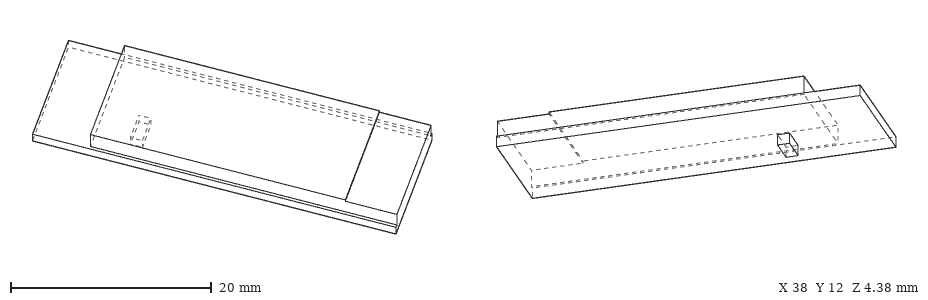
import cadquery as cq

board_length = 38.0
board_width = 12.0
board_thickness = 1.18

block_start = 5.95
block_width = 11.4
block_height = 2.05
step_length = 5.4
step_drop = 0.23

connector_start = 9.2
connector_length = 1.25
connector_width = 2.85
connector_height = 1.15
connector_center_y = -1.25


def box_from(start_x, center_y, start_z, length, width, height):
    """Box given by its -X face, its Y centre and its underside."""
    return cq.Workplane("XY").box(
        length, width, height, centered=(False, True, False)
    ).translate((start_x, center_y, start_z))


def stepped_block():
    """Block whose top is slightly lower at the +X end."""
    block_length = board_length - block_start
    block = box_from(block_start, 0, board_thickness, block_length, block_width, block_height)
    step_start = board_length - step_length
    step_floor = board_thickness + block_height - step_drop
    step = box_from(step_start, 0, step_floor, step_length, block_width, step_drop)
    return block.cut(step)


board = box_from(0, 0, 0, board_length, board_width, board_thickness)
connector = box_from(
    connector_start, connector_center_y, -connector_height,
    connector_length, connector_width, connector_height,
)

result = board.union(stepped_block()).union(connector)